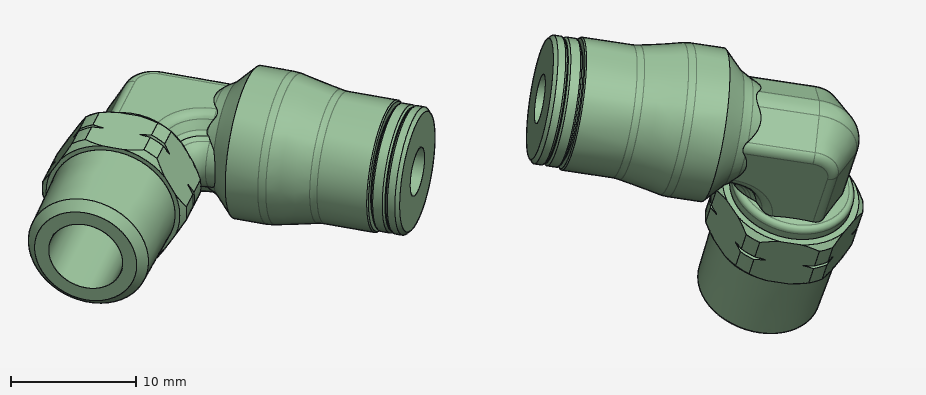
import cadquery as cq
import math


elbow_half_height = 4.0
elbow_outer_reach = 4.03
flat_half_width = 1.55
shoulder = (2.38, 3.5)
spine_start = (3.85, 0.8)
inner_flat_half_width = 1.75
inner_shoulder = (2.58, 3.5)
rib_valley_start = (3.05, 2.77)
rib_valley_end = (3.47, 2.5)
rib_round_start = (3.85, 2.2)
rib_reach = 4.98
inner_bend_center = 5.82
sleeve_leg_end = 7.28
stud_leg_end = 6.15

stud_end = 18.8
collar_radius = 5.0
collar_top = 5.3
collar_round = 0.5
collar_lip_radius = 3.65
collar_lip_top = 5.0
hex_sides = 6
hex_across_flats = 11.0
hex_corner_radius = 6.02
hex_top = 6.47
hex_bottom = 11.25
hex_chamfer = 0.45
hex_groove_depth = 0.3
hex_groove_half_width = 0.17
thread_top_radius = 5.18
thread_tip_radius = 5.0
thread_chamfer = 0.75

sleeve_end = 21.98
neck_start = (3.35, 3.08)
neck_flare_start = (5.5, 4.2)
neck_flare_end = (6.33, 4.68)
sleeve_radius = 6.22
sleeve_flat_start = 7.85
sleeve_flat_end = 10.55
sleeve_rim_start = 15.23
sleeve_rim_radius = 5.38
taper_blend_drop = 0.067
taper_start = (11.2, sleeve_radius - taper_blend_drop)
taper_end = (14.65, sleeve_rim_radius + taper_blend_drop)
sleeve_rim_end = 19.5
sleeve_rim_chamfer = 0.1
collet_neck_radius = 4.65
collet_radius = 5.2
collet_start = 19.68
collet_edge = 0.15
collet_groove_center = 20.83
collet_groove_radius = 5.05
collet_groove_bottom = 0.08
collet_end_chamfer = 0.3

bore_radius = 2.0
drill_point_angle = 118
drill_point_depth = bore_radius / math.tan(math.radians(drill_point_angle / 2))
stud_bore_radius = 3.08
stud_bore_end = hex_top


def outer_half_section(plane, side):
    """Half of the leg section on the outside of the bend, drawn on the given side of the axis."""
    height = elbow_half_height
    return (
        cq.Workplane(plane)
        .moveTo(0, -height)
        .lineTo(0, height)
        .lineTo(side * flat_half_width, height)
        .tangentArcPoint((side * shoulder[0], shoulder[1]), relative=False)
        .lineTo(side * spine_start[0], spine_start[1])
        .threePointArc((side * elbow_outer_reach, 0), (side * spine_start[0], -spine_start[1]))
        .lineTo(side * shoulder[0], -shoulder[1])
        .tangentArcPoint((side * flat_half_width, -height), relative=False)
        .close()
    )


def inner_half_section(plane, origin, side, back=0.0):
    """Ribbed half of the leg section inside the bend; back widens it past the leg axis."""
    height = elbow_half_height

    def point(uz, up):
        return (side * uz[0], up * uz[1])

    return (
        cq.Workplane(plane, origin=origin)
        .moveTo(-side * back, -height)
        .lineTo(-side * back, height)
        .lineTo(side * inner_flat_half_width, height)
        .tangentArcPoint(point(inner_shoulder, 1), relative=False)
        .lineTo(*point(rib_valley_start, 1))
        .tangentArcPoint(point(rib_valley_end, 1), relative=False)
        .lineTo(*point(rib_round_start, 1))
        .threePointArc((side * rib_reach, 0), point(rib_round_start, -1))
        .lineTo(*point(rib_valley_end, -1))
        .tangentArcPoint(point(rib_valley_start, -1), relative=False)
        .lineTo(*point(inner_shoulder, -1))
        .tangentArcPoint((side * inner_flat_half_width, -height), relative=False)
        .close()
    )


def make_elbow():
    stud_leg = outer_half_section("XZ", -1).extrude(stud_leg_end)
    sleeve_leg = outer_half_section("YZ", 1).extrude(sleeve_leg_end)
    corner = outer_half_section("XZ", -1).revolve(360, (0, 0), (0, 1))

    center = inner_bend_center
    web = inner_half_section("XZ", (0, -center, 0), 1, back=center / 2)
    web = web.revolve(360, (center, 0), (center, 1))
    quadrant = cq.Workplane("XY").box(center, center, 2 * elbow_half_height)
    web = web.intersect(quadrant.translate((center / 2, -center / 2, 0)))

    stud_run = inner_half_section("XZ", (0, -center, 0), 1).extrude(stud_leg_end - center)
    sleeve_run = inner_half_section("YZ", (center, 0, 0), -1).extrude(sleeve_leg_end - center)
    return stud_leg.union(sleeve_leg).union(corner).union(web).union(stud_run).union(sleeve_run)


def make_collar_and_thread():
    return (
        cq.Workplane("XY")
        .moveTo(0, -collar_lip_top)
        .lineTo(collar_lip_radius, -collar_lip_top)
        .lineTo(collar_radius - collar_round, -collar_top)
        .radiusArc((collar_radius, -collar_top - collar_round), collar_round)
        .lineTo(collar_radius, -hex_top)
        .lineTo(thread_top_radius, -hex_bottom)
        .lineTo(thread_tip_radius, -stud_end + thread_chamfer)
        .lineTo(thread_tip_radius - thread_chamfer, -stud_end)
        .lineTo(0, -stud_end)
        .close()
        .revolve(360, (0, 0), (0, 1))
    )


def make_hexagon():
    """Hexagon with corners on the X axis, trimmed by a turned, chamfered and grooved envelope."""
    hex_length = hex_bottom - hex_top
    across_corners = hex_across_flats / math.cos(math.pi / hex_sides)
    prism = (
        cq.Workplane("XZ", origin=(0, -hex_top, 0))
        .polygon(hex_sides, across_corners)
        .extrude(hex_length)
    )
    radius = hex_corner_radius
    groove = (hex_top + hex_bottom) / 2
    envelope = (
        cq.Workplane("XY")
        .moveTo(0, -hex_top)
        .lineTo(radius - hex_chamfer, -hex_top)
        .lineTo(radius, -hex_top - hex_chamfer)
        .lineTo(radius, -groove + hex_groove_half_width)
        .lineTo(radius - hex_groove_depth, -groove)
        .lineTo(radius, -groove - hex_groove_half_width)
        .lineTo(radius, -hex_bottom + hex_chamfer)
        .lineTo(radius - hex_chamfer, -hex_bottom)
        .lineTo(0, -hex_bottom)
        .close()
        .revolve(360, (0, 0), (0, 1))
    )
    return prism.intersect(envelope)


def make_sleeve():
    """Flared neck, sleeve, and the grooved collet ring at its mouth."""
    groove_flank = collet_radius - collet_groove_radius
    groove_half = collet_groove_bottom / 2
    return (
        cq.Workplane("XY")
        .moveTo(neck_start[0], 0)
        .lineTo(*neck_start)
        .lineTo(*neck_flare_start)
        .tangentArcPoint(neck_flare_end, relative=False)
        .lineTo(sleeve_flat_start, sleeve_radius)
        .lineTo(sleeve_flat_end, sleeve_radius)
        .tangentArcPoint(taper_start, relative=False)
        .lineTo(*taper_end)
        .tangentArcPoint((sleeve_rim_start, sleeve_rim_radius), relative=False)
        .lineTo(sleeve_rim_end - sleeve_rim_chamfer, sleeve_rim_radius)
        .lineTo(sleeve_rim_end, sleeve_rim_radius - sleeve_rim_chamfer)
        .lineTo(sleeve_rim_end, collet_neck_radius)
        .lineTo(collet_start, collet_neck_radius)
        .lineTo(collet_start, collet_radius - collet_edge)
        .lineTo(collet_start + collet_edge, collet_radius)
        .lineTo(collet_groove_center - groove_half - groove_flank, collet_radius)
        .lineTo(collet_groove_center - groove_half, collet_groove_radius)
        .lineTo(collet_groove_center + groove_half, collet_groove_radius)
        .lineTo(collet_groove_center + groove_half + groove_flank, collet_radius)
        .lineTo(sleeve_end - collet_end_chamfer, collet_radius)
        .lineTo(sleeve_end, collet_radius - collet_end_chamfer)
        .lineTo(sleeve_end, 0)
        .close()
        .revolve(360, (0, 0), (1, 0))
    )


def make_bores():
    """Two drilled bores whose points overlap at the corner, and the wider bore in the stud."""
    sleeve_bore = (
        cq.Workplane("XY")
        .polyline([(-drill_point_depth, 0), (0, bore_radius), (sleeve_end, bore_radius), (sleeve_end, 0)])
        .close()
        .revolve(360, (0, 0), (1, 0))
    )
    stud_bore = (
        cq.Workplane("XY")
        .moveTo(0, drill_point_depth)
        .lineTo(bore_radius, 0)
        .lineTo(bore_radius, -stud_bore_end)
        .lineTo(stud_bore_radius, -stud_bore_end)
        .lineTo(stud_bore_radius, -stud_end)
        .lineTo(0, -stud_end)
        .close()
        .revolve(360, (0, 0), (0, 1))
    )
    return sleeve_bore.union(stud_bore)


result = (
    make_elbow()
    .union(make_collar_and_thread())
    .union(make_hexagon())
    .union(make_sleeve())
    .cut(make_bores())
)